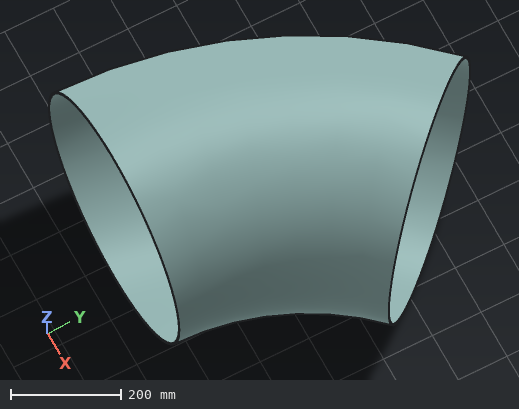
import cadquery as cq

outer_diameter = 506.0
wall_thickness = 3.0
bend_radius = 750.0
bend_angle = 45.0

outer_radius = outer_diameter / 2
inner_radius = outer_radius - wall_thickness


def make_elbow():
    """Sweep the tube ring from the XZ plane toward +Y, bending toward +X."""
    ring = cq.Workplane("XZ").circle(outer_radius).circle(inner_radius)
    axis_start = (bend_radius, 0)
    axis_end = (bend_radius, -1)
    return ring.revolve(bend_angle, axis_start, axis_end)


result = make_elbow()